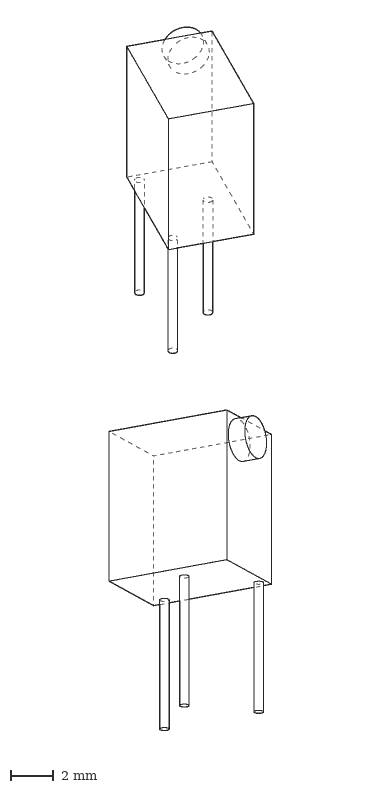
import cadquery as cq

overall_length = 7.25
overall_height = 13.72

housing_length = 6.35
housing_depth = 4.18
pin_length = 6.35
housing_height = overall_height - pin_length

screw_diameter = 2.03
screw_length = overall_length - housing_length
screw_edge_distance = 1.15
screw_y = housing_depth - screw_edge_distance
screw_z = housing_height - screw_edge_distance

pin_diameter = 0.45
pin_pitch = 2.54
first_pin_x = 0.41
back_pin_y = screw_y
front_pin_y = back_pin_y - pin_pitch
pin_positions = [
    (first_pin_x, front_pin_y),
    (first_pin_x + pin_pitch, back_pin_y),
    (first_pin_x + 2 * pin_pitch, front_pin_y),
]


def make_housing():
    return cq.Workplane("XY").box(housing_length, housing_depth, housing_height, centered=False)


def make_screw():
    """Cylinder that touches the left side of the housing and points toward -X."""
    return (
        cq.Workplane("YZ")
        .center(screw_y, screw_z)
        .circle(screw_diameter / 2)
        .extrude(-screw_length)
    )


def make_pin(x, y):
    """Round pin that hangs from the underside of the housing."""
    return cq.Workplane("XY").center(x, y).circle(pin_diameter / 2).extrude(-pin_length)


housing = make_housing()
screw = make_screw()
pins = []
for pin_x, pin_y in pin_positions:
    pins.append(make_pin(pin_x, pin_y).val())

result = cq.Compound.makeCompound([housing.val(), screw.val(), *pins])